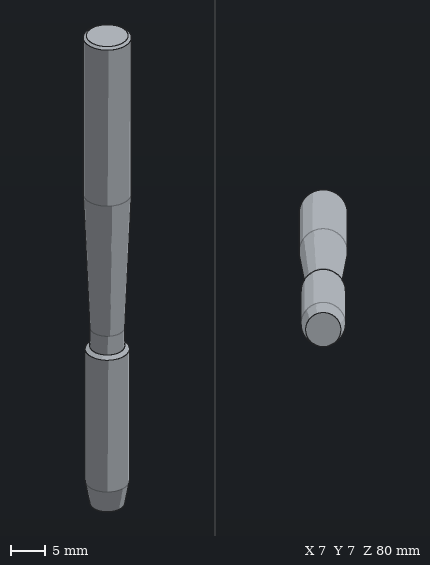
import cadquery as cq

total_length = 80.0
shank_diameter = 7.0

shank_length = 27.0
taper_length = 22.9
neck_diameter = 5.1
top_chamfer_width = 0.5
top_chamfer_height = 0.3

cutter_length = 26.9
cutter_diameter = 6.5
shoulder_height = 0.5
tip_length = 3.8
tip_diameter = 5.1


def revolved(half_profile):
    """Turn an (r, z) half profile into a solid about the Z axis."""
    return (
        cq.Workplane("XZ")
        .polyline(half_profile)
        .close()
        .revolve(360, (0, 0, 0), (0, 1, 0))
    )


def make_holder():
    """Chamfered shank that tapers down to a straight neck standing on the cutter."""
    shank_radius = shank_diameter / 2
    neck_radius = neck_diameter / 2
    shank_bottom = total_length - shank_length
    neck_top = shank_bottom - taper_length
    return revolved([
        (0, cutter_length),
        (neck_radius, cutter_length),
        (neck_radius, neck_top),
        (shank_radius, shank_bottom),
        (shank_radius, total_length - top_chamfer_height),
        (shank_radius - top_chamfer_width, total_length),
        (0, total_length),
    ])


def make_cutter():
    """Cylinder with a tapered tip and a sloped shoulder that meets the neck."""
    cutter_radius = cutter_diameter / 2
    return revolved([
        (0, 0),
        (tip_diameter / 2, 0),
        (cutter_radius, tip_length),
        (cutter_radius, cutter_length - shoulder_height),
        (neck_diameter / 2, cutter_length),
        (0, cutter_length),
    ])


holder = make_holder()
cutter = make_cutter()

result = cq.Compound.makeCompound([holder.val(), cutter.val()])